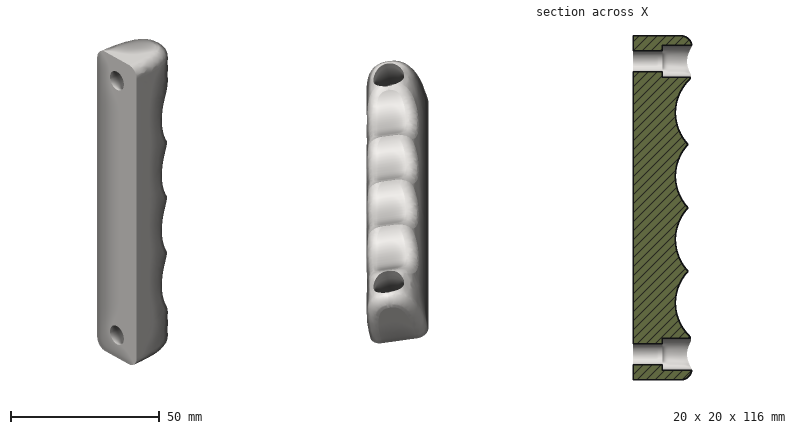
import cadquery as cq

length = 116.0
width = 20.0
height = 20.0
end_radius = 4.0

side_pull = 13.9
crown_pull = 7.0

hole_diameter = 7.0
counterbore_diameter = 10.5
hole_end_distance = 8.7
counterbore_floor = height / 2

groove_count = 4
groove_pitch = 21.3
groove_radius = 15.5
groove_floor = 14.4
groove_rim_radius = 4.0
groove_axis_y = groove_floor + groove_radius
first_groove_z = length / 2 - groove_pitch * (groove_count - 1) / 2
groove_centers = [(groove_axis_y, first_groove_z + i * groove_pitch) for i in range(groove_count)]


def make_body():
    """Bullet-shaped bar with rounded end edges."""
    half_width = width / 2
    right_side = [(half_width, 0), (half_width, side_pull), (crown_pull, height), (0, height)]
    left_side = [(-x, y) for x, y in reversed(right_side)]
    bar = (
        cq.Workplane("XY")
        .bezier(right_side)
        .bezier(left_side)
        .close()
        .extrude(length)
    )
    return bar.faces("<Z or >Z").edges("not(<Y)").fillet(end_radius)


def cut_finger_grooves(body):
    """Cut the row of cylindrical grooves and round their side rims."""
    cutters = (
        cq.Workplane("YZ")
        .pushPoints(groove_centers)
        .circle(groove_radius)
        .extrude(width / 2, both=True)
    )
    grooved = body.cut(cutters)
    rims = grooved.faces("%CYLINDER").edges("not(|X)")
    return rims.fillet(groove_rim_radius)


def make_screw_hole(center_z):
    """Through bore with a counterbore open at the crown."""
    bore = cq.Workplane("XZ").center(0, center_z).circle(hole_diameter / 2).extrude(-height)
    counterbore = (
        cq.Workplane("XZ", origin=(0, counterbore_floor, 0))
        .center(0, center_z)
        .circle(counterbore_diameter / 2)
        .extrude(counterbore_floor - height)
    )
    return bore.union(counterbore)


result = cut_finger_grooves(make_body())
for hole_z in (hole_end_distance, length - hole_end_distance):
    result = result.cut(make_screw_hole(hole_z))